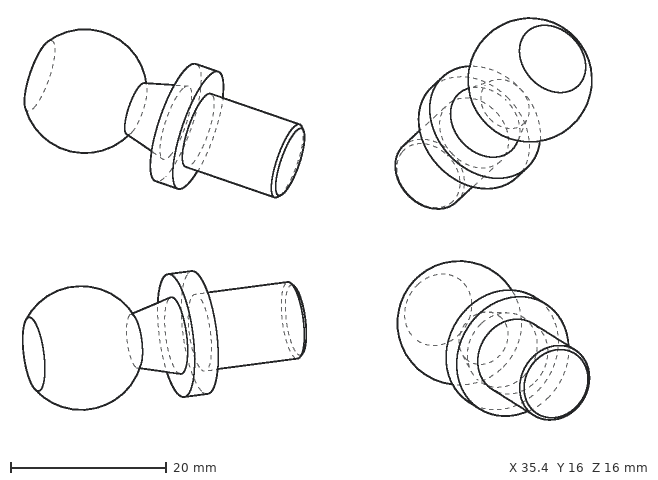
import cadquery as cq
import math

total_length = 35.4
ball_diameter = 16.0
ball_flat_distance = 6.4
neck_diameter = 7.0
shank_diameter = 10.0
flange_diameter = ball_diameter
flange_start = 19.22
flange_thickness = 3.2
shank_chamfer = 0.42

ball_radius = ball_diameter / 2
neck_radius = neck_diameter / 2
shank_radius = shank_diameter / 2
flange_radius = flange_diameter / 2
flange_end = flange_start + flange_thickness

flat_radius = math.sqrt(ball_radius**2 - ball_flat_distance**2)
neck_start = ball_flat_distance + math.sqrt(ball_radius**2 - neck_radius**2)

half_section = (
    cq.Workplane("XY")
    .lineTo(0, flat_radius)
    .threePointArc((ball_flat_distance, ball_radius), (neck_start, neck_radius))
    .lineTo(flange_start, shank_radius)
    .lineTo(flange_start, flange_radius)
    .lineTo(flange_end, flange_radius)
    .lineTo(flange_end, shank_radius)
    .lineTo(total_length - shank_chamfer, shank_radius)
    .lineTo(total_length, shank_radius - shank_chamfer)
    .lineTo(total_length, 0)
    .close()
)

result = half_section.revolve(360, (0, 0, 0), (1, 0, 0))